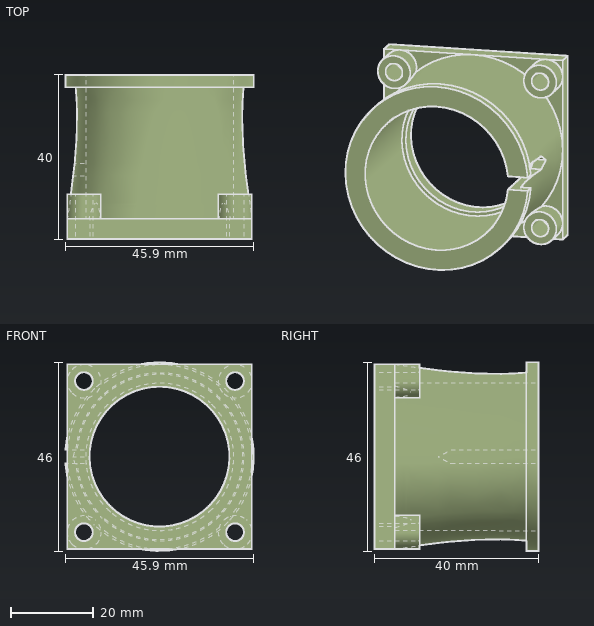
import cadquery as cq

total_length = 40.0
plate_bore_diameter = 34.0
tube_bore_diameter = 36.0
flange_diameter = 46.0
flange_thickness = 3.0
plate_thickness = 5.0
hole_spacing = 36.8
hole_diameter = 4.25
boss_diameter = 8.2
boss_height = 6.0
slot_width = 3.3
slot_length = 24.5
slot_point_length = 3.0

base_radius = 22.5
flare_radius = 21.0
flare_position = 16.0
waist_radius = 20.2
waist_position = 27.0
neck_radius = 20.5

plate_size = hole_spacing + boss_diameter
flange_start = total_length - flange_thickness
boss_end = plate_thickness + boss_height
hole_offset = hole_spacing / 2
hole_centers = [(side_x * hole_offset, side_z * hole_offset) for side_x in (-1, 1) for side_z in (-1, 1)]


def cylinder_along_y(diameter, start, end, x=0.0, z=0.0):
    direction = cq.Vector(0, 1, 0)
    solid = cq.Solid.makeCylinder(diameter / 2, end - start, cq.Vector(x, start, z), direction)
    return cq.Workplane(obj=solid)


def make_plate():
    return cq.Workplane("XY").box(plate_size, plate_thickness, plate_size, centered=(True, False, True))


def make_tube():
    """Solid tube body: it narrows from the plate to a waist and opens slightly at the flange."""
    profile_points = [
        (flare_radius, flare_position),
        (waist_radius, waist_position),
        (neck_radius, flange_start),
    ]
    return (
        cq.Workplane("XY")
        .moveTo(0, plate_thickness)
        .lineTo(base_radius, plate_thickness)
        .spline(profile_points, includeCurrent=True)
        .lineTo(0, flange_start)
        .close()
        .revolve(360, (0, 0, 0), (0, 1, 0))
    )


def make_flange():
    return cylinder_along_y(flange_diameter, flange_start, total_length)


def make_bosses():
    """Corner bosses on the back of the plate."""
    bosses = cq.Workplane("XY")
    for x, z in hole_centers:
        bosses = bosses.add(cylinder_along_y(boss_diameter, plate_thickness, boss_end, x, z))
    return bosses.combine()


def make_stepped_bore():
    """Bore that is wider inside the tube than through the plate."""
    plate_bore = cylinder_along_y(plate_bore_diameter, 0, plate_thickness)
    tube_bore = cylinder_along_y(tube_bore_diameter, plate_thickness, total_length)
    return plate_bore.union(tube_bore)


def make_screw_holes():
    """Holes through the plate and the corner bosses."""
    holes = cq.Workplane("XY")
    for x, z in hole_centers:
        holes = holes.add(cylinder_along_y(hole_diameter, 0, boss_end, x, z))
    return holes.combine()


def make_slot():
    """Pointed slot through the -X wall, open at the flange end."""
    tip = total_length - slot_length
    shoulder = tip + slot_point_length
    half_width = slot_width / 2
    return (
        cq.Workplane("YZ")
        .polyline([
            (total_length, half_width),
            (shoulder, half_width),
            (tip, 0),
            (shoulder, -half_width),
            (total_length, -half_width),
        ])
        .close()
        .extrude(-flange_diameter)
    )


result = make_plate().union(make_tube()).union(make_flange()).union(make_bosses())
result = result.cut(make_stepped_bore()).cut(make_screw_holes()).cut(make_slot())